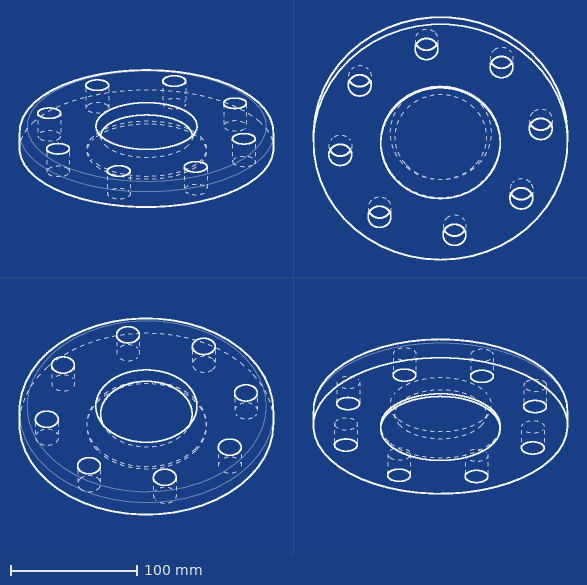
import cadquery as cq

flange_diameter = 201.0
flange_thickness = 20.0
rim_fillet_radius = 6.0

raised_face_diameter = 94.47
raised_face_height = 2.51

recess_top_diameter = 80.0
recess_depth = 9.0
recess_floor_diameter = 72.4

bolt_hole_count = 8
bolt_hole_diameter = 18.0
bolt_circle_diameter = 160.0


def flange_disc():
    """Disc standing on Z = 0 with its top rim rounded."""
    disc = cq.Workplane("XY").circle(flange_diameter / 2).extrude(flange_thickness)
    return disc.faces(">Z").edges().fillet(rim_fillet_radius)


def raised_face():
    """Shallow round face below the flange."""
    return cq.Workplane("XY").circle(raised_face_diameter / 2).extrude(-raised_face_height)


def tapered_recess():
    """Conical cutter, narrowing from the flange top to the recess floor."""
    return (
        cq.Workplane("XY")
        .workplane(offset=flange_thickness)
        .circle(recess_top_diameter / 2)
        .workplane(offset=-recess_depth)
        .circle(recess_floor_diameter / 2)
        .loft(ruled=True)
    )


def bolt_holes():
    """Ring of cutters that pass through the flange, the first one on +X."""
    return (
        cq.Workplane("XY")
        .polarArray(bolt_circle_diameter / 2, 0, 360, bolt_hole_count)
        .circle(bolt_hole_diameter / 2)
        .extrude(flange_thickness)
    )


result = flange_disc().union(raised_face()).cut(tapered_recess()).cut(bolt_holes())